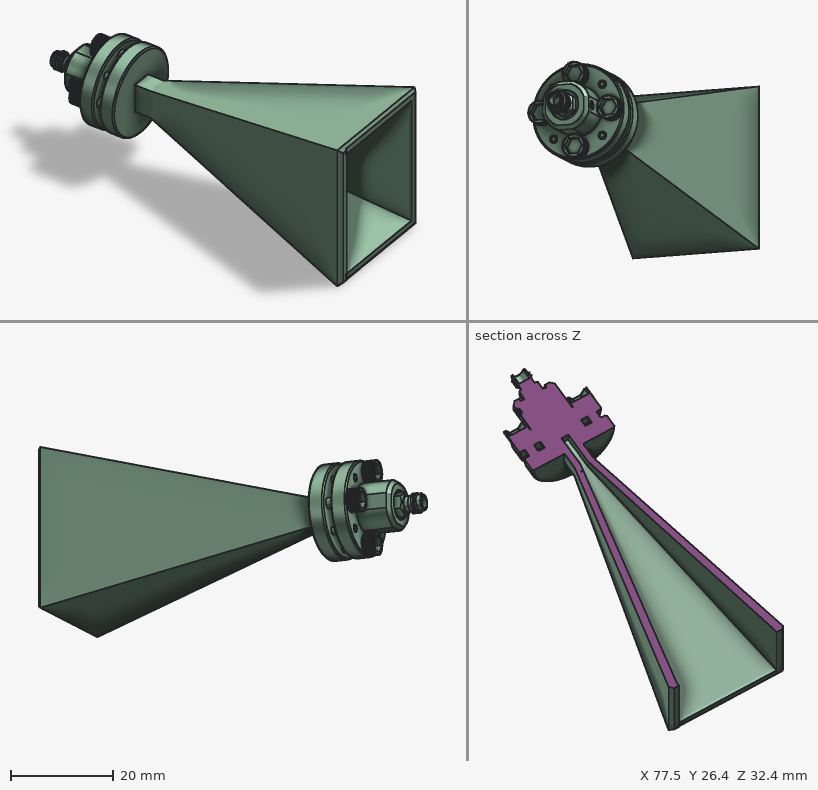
import cadquery as cq
import math


total_length = 77.5
core_end_x = 2.8
hex_start_x = 3.7
body_start_x = 5.2
set_screw_x = 7.75
head_start_x = 10.1
front_flange_start_x = 12.5
front_flange_end_x = 15.8
rear_flange_start_x = 17.4
rear_flange_end_x = 20.7
horn_start_x = 24.4
mouth_edge_x = 76.7
mouth_rim_x = 77.3

core_radius = 1.6
neck_radius = 1.55
bore_radius = 1.2
bore_depth = 2.3
nose_chamfer = 0.15
thread_pitch = 0.7
thread_radius = 2.0
thread_half_width = 0.27
thread_start_x = 0.74
thread_turns = 2.5
thread_root_overlap = 0.1
hex_across_corners = 5.05
hex_cone_length = 0.5
hex_cone_start_radius = 1.85

body_radius = 5.05
body_flat_distance = 4.8
body_chamfer = 0.8
nut_recess_radius = 2.95
nut_recess_depth = 0.6
set_screw_hole_radius = 0.85
set_screw_hole_depth = 1.55
set_screw_recess = 0.2
set_screw_socket_width = 0.8
set_screw_socket_depth = 0.4

flange_radius = 9.5
flange_chamfer = 0.3
hub_radius = 4.7
bolt_circle_radius = 7.2
screw_radius = 1.1
head_radius = flange_radius - bolt_circle_radius
head_seat_depth = 0.4
knurl_teeth = 36
knurl_depth = 0.15
socket_width = 3.2
socket_depth = 1.4
pin_radius = 0.8
pin_chamfer = 0.3

guide_width = 4.4
guide_height = 6.35
mouth_width = 26.4
mouth_height = 32.4
mouth_taper = 0.8
guide_wall = 1.5
mouth_wall = 1.9


def section(x):
    """Sketch plane at station x: local x is Y, local y is Z, extruding toward +X."""
    return cq.Workplane("YZ", origin=(x, 0, 0))


def cylinder(x_start, x_end, radius):
    return section(x_start).circle(radius).extrude(x_end - x_start)


def hexagon_diameter(across_flats):
    return across_flats / math.cos(math.pi / 6)


def bolt_circle_points(first_angle):
    """Four equally spaced (y, z) places on the bolt circle."""
    angles = [math.radians(first_angle + 90 * i) for i in range(4)]
    return [(bolt_circle_radius * math.cos(a), bolt_circle_radius * math.sin(a)) for a in angles]


def tapered_box(x_start, start_size, x_end, end_size):
    return section(x_start).rect(*start_size).workplane(offset=x_end - x_start).rect(*end_size).loft()


def make_thread():
    """Helical ridge of triangular section, sunk slightly into the core."""
    root_radius = core_radius - thread_root_overlap
    helix = cq.Wire.makeHelix(thread_pitch, thread_pitch * thread_turns, root_radius)
    ridge = (
        cq.Workplane("XZ")
        .moveTo(root_radius, -thread_half_width)
        .lineTo(thread_radius, 0)
        .lineTo(root_radius, thread_half_width)
        .close()
        .sweep(cq.Workplane(obj=helix), isFrenet=True)
    )
    upright = ridge.rotate((0, 0, 0), (0, 0, 1), 180)
    return upright.rotate((0, 0, 0), (0, 1, 0), 90).translate((thread_start_x, 0, 0))


def make_connector():
    core = cylinder(0, core_end_x, core_radius).faces("<X").chamfer(nose_chamfer)
    neck = cylinder(core_end_x, hex_start_x, neck_radius)
    nut_end_x = body_start_x + nut_recess_depth
    nut_length = nut_end_x - hex_start_x
    nut = section(hex_start_x).polygon(6, hex_across_corners).extrude(nut_length)
    nut = nut.rotate((0, 0, 0), (1, 0, 0), 90)
    envelope = (
        cq.Workplane("XY")
        .moveTo(hex_start_x, 0)
        .lineTo(hex_start_x, hex_cone_start_radius)
        .lineTo(hex_start_x + hex_cone_length, hex_across_corners / 2)
        .lineTo(nut_end_x, hex_across_corners / 2)
        .lineTo(nut_end_x, 0)
        .close()
        .revolve(360, (0, 0, 0), (1, 0, 0))
    )
    nut = nut.intersect(envelope)
    bore = cylinder(0, bore_depth, bore_radius)
    return core.union(make_thread()).union(neck).union(nut).cut(bore)


def make_body():
    """Round body with four narrow flats, a recess around the nut and a set screw in the -Y flat."""
    length = front_flange_start_x - body_start_x
    body = cylinder(body_start_x, front_flange_start_x, body_radius)
    flats = section(body_start_x).rect(2 * body_flat_distance, 2 * body_flat_distance).extrude(length)
    body = body.intersect(flats).faces("<X").chamfer(body_chamfer)
    body = body.cut(cylinder(body_start_x, body_start_x + nut_recess_depth, nut_recess_radius))

    flat = cq.Workplane("XZ", origin=(set_screw_x, -body_flat_distance, 0))
    hole = flat.circle(set_screw_hole_radius).extrude(-set_screw_hole_depth)
    screw = flat.workplane(offset=-set_screw_recess).circle(set_screw_hole_radius)
    screw = screw.extrude(set_screw_recess - set_screw_hole_depth)
    socket = flat.polygon(6, hexagon_diameter(set_screw_socket_width))
    socket = socket.extrude(-set_screw_recess - set_screw_socket_depth)
    return body.cut(hole).union(screw.cut(socket))


def make_flange(x_start, x_end):
    return cylinder(x_start, x_end, flange_radius).faces("<X or >X").chamfer(flange_chamfer)


def make_screw():
    """Straight-knurled socket head and the shank between the flanges, both on the X axis."""
    head_end_x = front_flange_start_x + head_seat_depth
    outline = []
    for i in range(2 * knurl_teeth):
        radius = head_radius - knurl_depth * (i % 2)
        angle = math.pi * i / knurl_teeth
        outline.append((radius * math.cos(angle), radius * math.sin(angle)))
    head = section(head_start_x).polyline(outline).close().extrude(head_end_x - head_start_x)
    socket = section(head_start_x).polygon(6, hexagon_diameter(socket_width)).extrude(socket_depth)
    shank = cylinder(front_flange_end_x, rear_flange_start_x, screw_radius)
    return head.cut(socket), shank


def make_joint():
    """Both flanges with the hub, screws and dowel pins that join them."""
    joint = make_flange(front_flange_start_x, front_flange_end_x)
    joint = joint.union(make_flange(rear_flange_start_x, rear_flange_end_x))
    joint = joint.union(cylinder(front_flange_end_x, rear_flange_start_x, hub_radius))

    pin_hole = cylinder(front_flange_start_x, front_flange_end_x, pin_radius)
    pin = cylinder(front_flange_start_x, rear_flange_start_x, pin_radius).faces("<X").chamfer(pin_chamfer)
    for y, z in bolt_circle_points(45):
        joint = joint.cut(pin_hole.translate((0, y, z))).union(pin.translate((0, y, z)))

    head, shank = make_screw()
    for y, z in bolt_circle_points(0):
        joint = joint.union(head.translate((0, y, z))).union(shank.translate((0, y, z)))
    return joint


def make_horn():
    """Outside of the waveguide and flared horn, with a slight inward taper at the mouth."""
    guide_size = (guide_width, guide_height)
    mouth_size = (mouth_width, mouth_height)
    end_size = (mouth_width - 2 * mouth_taper, mouth_height - 2 * mouth_taper)
    guide = section(rear_flange_end_x).rect(*guide_size).extrude(horn_start_x - rear_flange_end_x)
    flare = tapered_box(horn_start_x, guide_size, mouth_edge_x, mouth_size)
    rim = tapered_box(mouth_edge_x, mouth_size, total_length, end_size)

    trim = section(mouth_rim_x).center(mouth_wall, 0).rect(mouth_width, mouth_height)
    rim = rim.cut(trim.extrude(total_length - mouth_rim_x))
    return guide.union(flare).union(rim)


def make_horn_cavity():
    """Waveguide bore from the front of the rear flange, flaring out to the open mouth."""
    bore_size = (guide_width - 2 * guide_wall, guide_height - 2 * guide_wall)
    open_size = (mouth_width - 2 * mouth_wall, mouth_height - 2 * mouth_wall)
    bore = section(rear_flange_start_x).rect(*bore_size).extrude(horn_start_x - rear_flange_start_x)
    flare = tapered_box(horn_start_x, bore_size, mouth_edge_x, open_size)
    opening = section(mouth_edge_x).rect(*open_size).extrude(total_length - mouth_edge_x)
    return bore.union(flare).union(opening)


adapter = make_joint().union(make_body()).union(make_connector())
result = adapter.union(make_horn()).cut(make_horn_cavity())